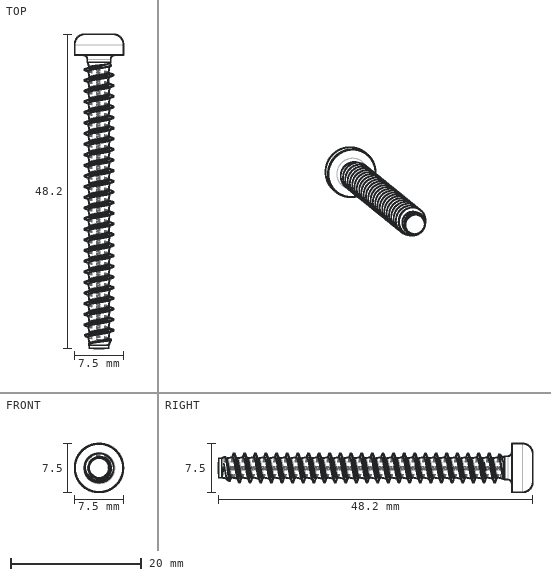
import cadquery as cq
import math

length = 48.2

head_diameter = 7.5
head_height = 3.3
head_rim_chamfer = 0.1
head_crown_radius = 1.65

neck_diameter = 3.6
neck_length = 1.0
neck_fillet = 0.6
neck_taper_length = 0.7

core_diameter = 3.05
tip_cone_height = 0.1

thread_diameter = 4.5
thread_start = 43.95
thread_turns = 27
thread_travel = 43.95
thread_start_angle = -90.0
pitch = thread_travel / thread_turns
crest_half_width = 0.05
foot_half_width = 0.25
foot_diameter = 3.33
root_head_side = 0.45
root_land = 0.05
root_dip = 0.02
root_embed = 0.15
runout_clearance = 0.15

head_runout_start = 44.1
head_runout_length = 1.45
tip_runout_end = 0.2
tip_runout_length = 2.4

seat_y = length - head_height
neck_end_y = seat_y - neck_length
core_radius = core_diameter / 2
thread_radius = thread_diameter / 2


def revolve_about_y(profile):
    """Turn a closed half-profile in the XY plane about the Y axis."""
    return profile.close().revolve(360, (0, 0, 0), (0, 1, 0))


def make_body():
    """Head, neck, smooth core and the shallow cone at the tip, as one turned shape."""
    head_radius = head_diameter / 2
    neck_radius = neck_diameter / 2
    diagonal = math.sqrt(0.5)
    fillet_mid = neck_fillet * (1 - diagonal)
    crown_mid = head_crown_radius * (1 - diagonal)
    profile = (
        cq.Workplane("XY")
        .moveTo(0, 0)
        .lineTo(core_radius, tip_cone_height)
        .lineTo(core_radius, neck_end_y - neck_taper_length)
        .lineTo(neck_radius, neck_end_y)
        .lineTo(neck_radius, seat_y - neck_fillet)
        .threePointArc(
            (neck_radius + fillet_mid, seat_y - fillet_mid),
            (neck_radius + neck_fillet, seat_y),
        )
        .lineTo(head_radius - head_rim_chamfer, seat_y)
        .lineTo(head_radius, seat_y + head_rim_chamfer)
        .lineTo(head_radius, length - head_crown_radius)
        .threePointArc(
            (head_radius - crown_mid, length - crown_mid),
            (head_radius - head_crown_radius, length),
        )
        .lineTo(0, length)
    )
    return revolve_about_y(profile)


def make_runout_envelope():
    """Turned limit that fades the thread out at the neck and at the tip."""
    inner_radius = core_radius - root_embed
    clear_radius = thread_radius + runout_clearance
    profile = (
        cq.Workplane("XY")
        .moveTo(0, tip_runout_end)
        .lineTo(inner_radius, tip_runout_end)
        .lineTo(clear_radius, tip_runout_end + tip_runout_length)
        .lineTo(clear_radius, head_runout_start - head_runout_length)
        .lineTo(inner_radius, head_runout_start)
        .lineTo(0, head_runout_start)
    )
    return revolve_about_y(profile)


def make_thread():
    """Helical ridge swept from the neck toward the tip.

    It is built along +Z with the head end at z = 0, then laid along -Y.
    """
    base_radius = core_radius - root_embed
    valley_radius = core_radius - root_dip
    foot_radius = foot_diameter / 2
    root_tip_side = pitch - root_head_side - root_land
    section = (
        cq.Workplane("XZ")
        .moveTo(base_radius, -root_head_side)
        .lineTo(valley_radius, -root_head_side)
        .lineTo(foot_radius, -foot_half_width)
        .lineTo(thread_radius, -crest_half_width)
        .lineTo(thread_radius, crest_half_width)
        .lineTo(foot_radius, foot_half_width)
        .lineTo(valley_radius, root_tip_side)
        .lineTo(base_radius, root_tip_side)
        .close()
    )
    helix = cq.Workplane(cq.Wire.makeHelix(pitch, thread_travel, core_radius))
    ridge = section.sweep(helix, isFrenet=True)
    return (
        ridge.rotate((0, 0, 0), (0, 0, 1), thread_start_angle)
        .rotate((0, 0, 0), (1, 0, 0), 90)
        .translate((0, thread_start, 0))
    )


thread = make_thread().intersect(make_runout_envelope())
result = make_body().union(thread)